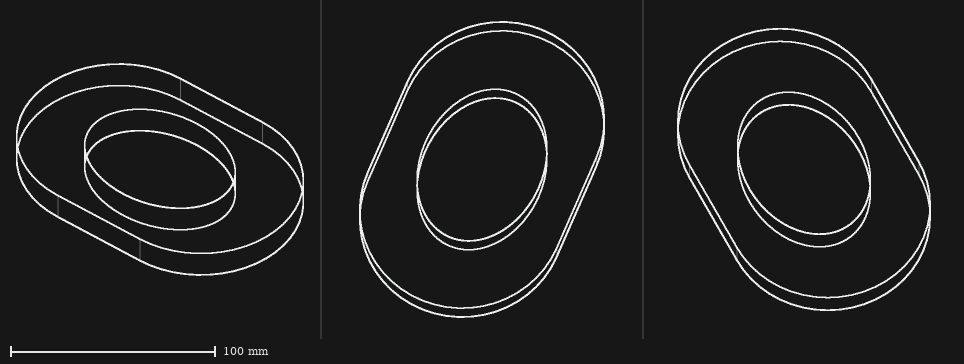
import cadquery as cq

length = 150.0
width = length * 2 / 3
thickness = 15.0
opening_width = 60.0
opening_length = opening_width * 4 / 3

plate = cq.Workplane("XY").slot2D(length, width).extrude(thickness)

opening = (
    cq.Workplane("XY")
    .ellipse(opening_length / 2, opening_width / 2)
    .extrude(thickness)
)

result = plate.cut(opening)